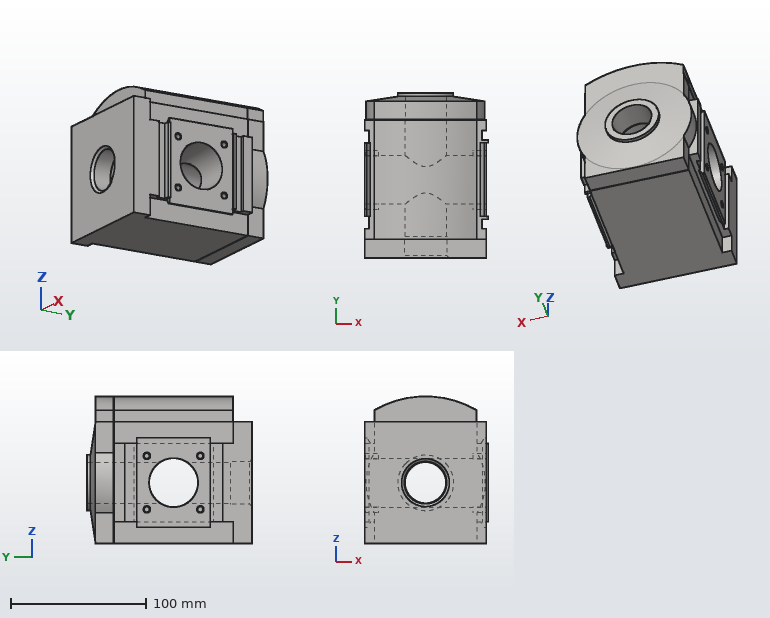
import cadquery as cq
import math

flange_width = 90.0
half_width = flange_width / 2
box_half_width = 38.0
dome_half_width = 37.75
dome_corner_z = 53.6
dome_top_z = 63.79
flange_front_y = -58.0
body_end_y = 44.0

rail_half_height = 29.0
slot_depth = 3.25
slot_outer_y = 36.2
slot_inner_y = 27.1
lip_thickness = 2.2
lip_reach = 1.5

pad_half_height = 33.0
pad_half_length = slot_inner_y
pad_base_x = 40.6
pad_shoulder_x = 43.4

side_bore_diameter = 36.0
end_bore_diameter = 30.3
port_diameter = 31.3
port_depth = 16.0
port_mouth_diameter = 35.3
port_mouth_depth = 2.0
screw_diameter = 4.13
screw_mouth_diameter = 5.2
screw_mouth_depth = 0.5
screw_depth = 10.0
screw_pitch = 39.5

joint_gap = 0.5
cap_start_y = body_end_y + joint_gap
cap_end_y = 57.8
cap_disc_diameter = 88.0
boss_diameter = 41.2
boss_end_y = 64.0
cone_height = 3.6


def dome_prism(start_y, end_y):
    """Box carrying a slightly narrower arched crown, extruded along Y."""
    return (
        cq.Workplane("XZ", origin=(0, start_y, 0))
        .moveTo(-box_half_width, -half_width)
        .lineTo(box_half_width, -half_width)
        .lineTo(box_half_width, half_width)
        .lineTo(dome_half_width, half_width)
        .lineTo(dome_half_width, dome_corner_z)
        .threePointArc((0, dome_top_z), (-dome_half_width, dome_corner_z))
        .lineTo(-dome_half_width, half_width)
        .lineTo(-box_half_width, half_width)
        .close()
        .extrude(start_y - end_y)
    )


def cylinder_y(diameter, start_y, end_y):
    """Round bar along +Y."""
    return cq.Workplane("XZ", origin=(0, start_y, 0)).circle(diameter / 2).extrude(start_y - end_y)


def cone_y(start_diameter, end_diameter, start_y, height):
    """Truncated cone along +Y."""
    return cq.Workplane("XY").add(
        cq.Solid.makeCone(
            start_diameter / 2, end_diameter / 2, height, cq.Vector(0, start_y, 0), cq.Vector(0, 1, 0)
        )
    )


def side_box(inner_x, outer_x, start_y, end_y, half_height):
    """Box on the +X side, centred on Z = 0."""
    return cq.Workplane("XY").box(
        outer_x - inner_x, end_y - start_y, 2 * half_height, centered=False
    ).translate((inner_x, start_y, -half_height))


def rail():
    """Rail on the +X side with a slot near each end."""
    bar = side_box(0, half_width, flange_front_y, body_end_y, rail_half_height)
    for start_y in (-slot_outer_y, slot_inner_y):
        end_y = start_y + slot_outer_y - slot_inner_y
        bar = bar.cut(side_box(half_width - slot_depth, half_width, start_y, end_y, half_width))
    return bar


def lips():
    """Two thin lips beside the +X pad, standing out past the flange."""
    lip_end_y = slot_inner_y + lip_thickness
    outer_x = half_width + lip_reach
    front_lip = side_box(dome_half_width, outer_x, -lip_end_y, -slot_inner_y, rail_half_height)
    back_lip = side_box(dome_half_width, outer_x, slot_inner_y, lip_end_y, rail_half_height)
    return front_lip.union(back_lip)


def pad():
    """Mounting pad on the +X side, its ends widening outward to a straight shoulder."""
    return (
        cq.Workplane("XZ", origin=(0, pad_half_length, 0))
        .polyline([
            (0, -rail_half_height),
            (pad_base_x, -rail_half_height),
            (pad_shoulder_x, -pad_half_height),
            (half_width, -pad_half_height),
            (half_width, pad_half_height),
            (pad_shoulder_x, pad_half_height),
            (pad_base_x, rail_half_height),
            (0, rail_half_height),
        ])
        .close()
        .extrude(2 * pad_half_length)
    )


def screw_holes():
    """Four blind countersunk holes in the +X pad."""
    centres = cq.Workplane("YZ", origin=(half_width, 0, 0)).rect(
        screw_pitch, screw_pitch, forConstruction=True
    ).vertices()
    mouth_step = (screw_mouth_diameter - screw_diameter) / 2
    mouth_taper = math.degrees(math.atan2(mouth_step, screw_mouth_depth))
    shanks = centres.circle(screw_diameter / 2).extrude(-screw_depth)
    mouths = centres.circle(screw_mouth_diameter / 2).extrude(-screw_mouth_depth, taper=mouth_taper)
    return shanks.union(mouths)


def front_port():
    """Bore through the housing along Y, widened and chamfered at the flange."""
    bore = cylinder_y(end_bore_diameter, flange_front_y, body_end_y)
    port = cylinder_y(port_diameter, flange_front_y, flange_front_y + port_depth)
    mouth = cone_y(port_mouth_diameter, port_diameter, flange_front_y, port_mouth_depth)
    return bore.union(port).union(mouth)


def make_housing():
    """Front flange, domed body, side rails with pads, and all the bores."""
    flange_thickness = -body_end_y - flange_front_y
    flange = cq.Workplane("XY").box(
        flange_width, flange_thickness, flange_width, centered=(True, False, True)
    ).translate((0, flange_front_y, 0))
    body = flange.union(dome_prism(-body_end_y, body_end_y))
    side = rail().union(pad())
    body = body.union(side).union(side.mirror("YZ")).union(lips())
    holes = screw_holes()
    body = body.cut(holes).cut(holes.mirror("YZ"))
    side_bore = cq.Workplane("YZ").circle(side_bore_diameter / 2).extrude(half_width, both=True)
    return body.cut(side_bore).cut(front_port())


def make_cap():
    """End cap with a round bulge, a shallow cone and a bored boss."""
    cap = dome_prism(cap_start_y, cap_end_y).union(cylinder_y(cap_disc_diameter, cap_start_y, cap_end_y))
    cap = cap.union(cone_y(cap_disc_diameter, boss_diameter, cap_end_y, cone_height))
    cap = cap.union(cylinder_y(boss_diameter, cap_end_y, boss_end_y))
    return cap.cut(cylinder_y(end_bore_diameter, cap_start_y, boss_end_y))


housing = make_housing()
cap = make_cap()
result = cq.Compound.makeCompound([housing.val(), cap.val()])